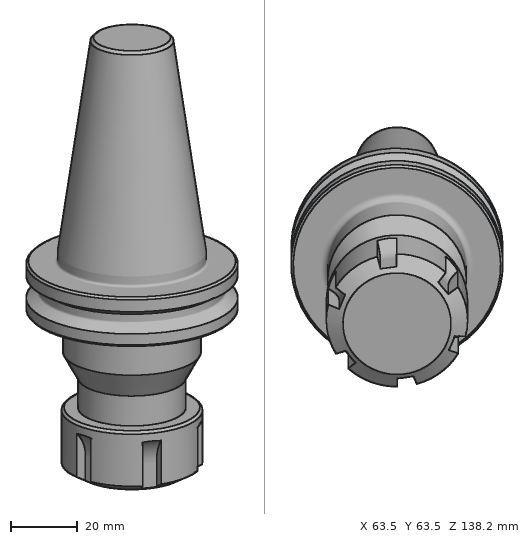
import cadquery as cq
import math

nut_radius = 21.2
nut_height = 20.3
nut_top_chamfer = 0.8
nose_radius = 16.2
nose_height = 2.9

neck_radius = 16.2
neck_top = 29.9
body_radius = 20.7
body_bottom = 38.2
body_fillet = 2.1

flange_radius = 63.5 / 2
flange_bottom = 51.2
flange_top = 66.9
flange_chamfer = 0.7
groove_radius = 56.0 / 2
groove_bottom = 57.5
groove_top = 60.3
groove_fillet = 0.8
groove_side_angle = 30
groove_side_rise = (flange_radius - groove_radius) * math.tan(math.radians(groove_side_angle))

total_height = 138.2
taper_base_radius = 22.3
taper_base = 70.2
taper_slope = 7 / 24 / 2
shank_top_chamfer = 1.0
shank_fillet = 0.8

slot_count = 6
slot_floor_width = 4.8
slot_rim_width = 6.0
slot_floor_radius = 17.7
slot_straight_top = 9.0
slot_runout_radius = 11.0


def taper_radius(z):
    return taper_base_radius - taper_slope * (z - taper_base)


def groove_fillet_point(turned):
    """Point on the fillet at the lower groove corner, turned radians below its upper end."""
    corner_turn = math.radians(90 - groove_side_angle)
    fillet_top = groove_bottom + groove_fillet * math.tan(corner_turn / 2)
    return (
        groove_radius + groove_fillet * (1 - math.cos(turned)),
        fillet_top - groove_fillet * math.sin(turned),
    )


def make_holder():
    """Revolve the half profile of the holder and nut about Z."""
    taper_top = total_height - shank_top_chamfer
    fillet_middle = body_fillet * (1 - math.sqrt(0.5))
    shank_fillet_middle = shank_fillet * (1 - math.sqrt(0.5))
    turn = math.radians(90 - groove_side_angle)
    profile = (
        cq.Workplane("XZ")
        .lineTo(nose_radius, 0)
        .lineTo(nut_radius, nose_height)
        .lineTo(nut_radius, nut_height - nut_top_chamfer)
        .lineTo(nut_radius - nut_top_chamfer, nut_height)
        .lineTo(neck_radius, nut_height)
        .lineTo(neck_radius, neck_top)
        .lineTo(body_radius, body_bottom)
        .lineTo(body_radius, flange_bottom - body_fillet)
        .threePointArc(
            (body_radius + fillet_middle, flange_bottom - fillet_middle),
            (body_radius + body_fillet, flange_bottom),
        )
        .lineTo(flange_radius - flange_chamfer, flange_bottom)
        .lineTo(flange_radius, flange_bottom + flange_chamfer)
        .lineTo(flange_radius, groove_bottom - groove_side_rise)
        .lineTo(*groove_fillet_point(turn))
        .threePointArc(groove_fillet_point(turn / 2), groove_fillet_point(0))
        .lineTo(groove_radius, groove_top)
        .lineTo(flange_radius, groove_top + groove_side_rise)
        .lineTo(flange_radius, flange_top - flange_chamfer)
        .lineTo(flange_radius - flange_chamfer, flange_top)
        .lineTo(taper_base_radius + shank_fillet, flange_top)
        .threePointArc(
            (taper_base_radius + shank_fillet_middle, flange_top + shank_fillet_middle),
            (taper_base_radius, flange_top + shank_fillet),
        )
        .lineTo(taper_base_radius, taper_base)
        .lineTo(taper_radius(taper_top), taper_top)
        .lineTo(taper_radius(taper_top) - shank_top_chamfer, total_height)
        .lineTo(0, total_height)
        .close()
    )
    return profile.revolve(360, (0, 0, 0), (0, 1, 0))


def make_slot_cutter():
    """Slot along +Y, open at the nut face, whose walls flare and whose floor curves outward at its top."""
    outside = nut_radius + 1.4
    runout_centre = slot_floor_radius + slot_runout_radius
    runout_end = slot_straight_top + math.sqrt(slot_runout_radius**2 - (runout_centre - outside) ** 2)
    arc_angle = math.radians(20)
    arc_point = (
        runout_centre - slot_runout_radius * math.cos(arc_angle),
        slot_straight_top + slot_runout_radius * math.sin(arc_angle),
    )
    side_profile = (
        cq.Workplane("YZ")
        .moveTo(slot_floor_radius, 0)
        .lineTo(slot_floor_radius, slot_straight_top)
        .threePointArc(arc_point, (outside, runout_end))
        .lineTo(outside, 0)
        .close()
        .extrude(slot_rim_width, both=True)
    )
    flare = (slot_rim_width - slot_floor_width) / 2 / (nut_radius - slot_floor_radius)
    outside_half_width = slot_rim_width / 2 + flare * (outside - nut_radius)
    tapered_plan = (
        cq.Workplane("XY")
        .moveTo(-slot_floor_width / 2, slot_floor_radius)
        .lineTo(slot_floor_width / 2, slot_floor_radius)
        .lineTo(outside_half_width, outside)
        .lineTo(-outside_half_width, outside)
        .close()
        .extrude(nut_height)
    )
    return side_profile.intersect(tapered_plan)


result = make_holder()
slot_cutter = make_slot_cutter()
for index in range(slot_count):
    angle = index * 360 / slot_count
    result = result.cut(slot_cutter.rotate((0, 0, 0), (0, 0, 1), angle))